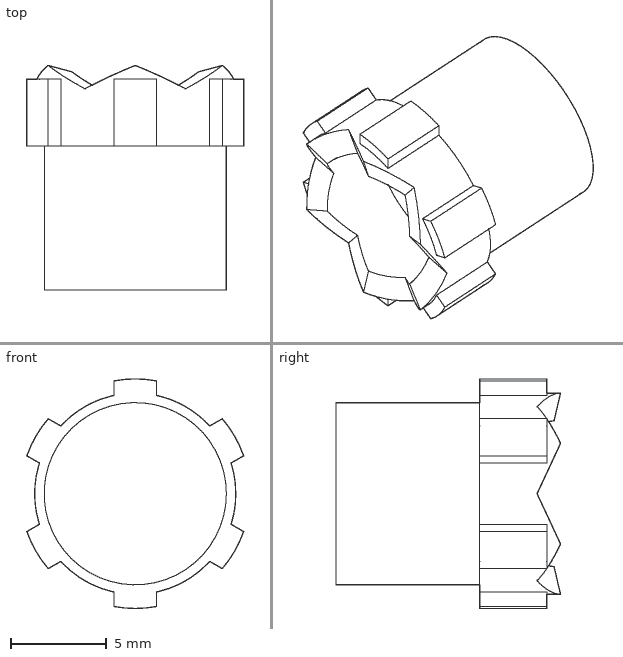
import cadquery as cq
import math

shank_diameter = 9.5
shank_length = 7.5
collar_diameter = 10.5
bore_diameter = 7.6
lug_diameter = 11.98
lug_width = 2.24
lug_length = 3.5
valley_height = 3.0
notch_slope = 25.0
count = 6

pitch = 360 / count
slope = math.tan(math.radians(notch_slope))
half_pitch_width = collar_diameter / 2 * math.sin(math.radians(pitch / 2))
tip_height = valley_height + half_pitch_width * slope


def cylinder(diameter, start, length):
    """Cylinder along +Y beginning at the given Y."""
    plane = cq.Workplane("XZ", origin=(0, start, 0))
    return plane.circle(diameter / 2).extrude(-length)


def turned(body, angle):
    """Body rotated about the Y axis."""
    return body.rotate((0, 0, 0), (0, 1, 0), angle)


def lug():
    """Parallel-sided lug on +Z with a round outer face."""
    radius = lug_diameter / 2
    bar = cq.Workplane("XY").box(lug_width, lug_length, radius, centered=(True, False, False))
    return bar.intersect(cylinder(lug_diameter, 0, lug_length))


def notch():
    """V-shaped cutter running radially along +X."""
    half_width = collar_diameter / 2
    top = valley_height + half_width * slope
    profile = [(valley_height, 0), (top, half_width), (top, -half_width)]
    return cq.Workplane("YZ").polyline(profile).close().extrude(lug_diameter)


result = cylinder(shank_diameter, -shank_length, shank_length)
result = result.union(cylinder(collar_diameter, 0, tip_height))
for index in range(count):
    result = result.union(turned(lug(), index * pitch))

result = result.cut(cylinder(bore_diameter, 0, tip_height))

for index in range(count):
    result = result.cut(turned(notch(), index * pitch))